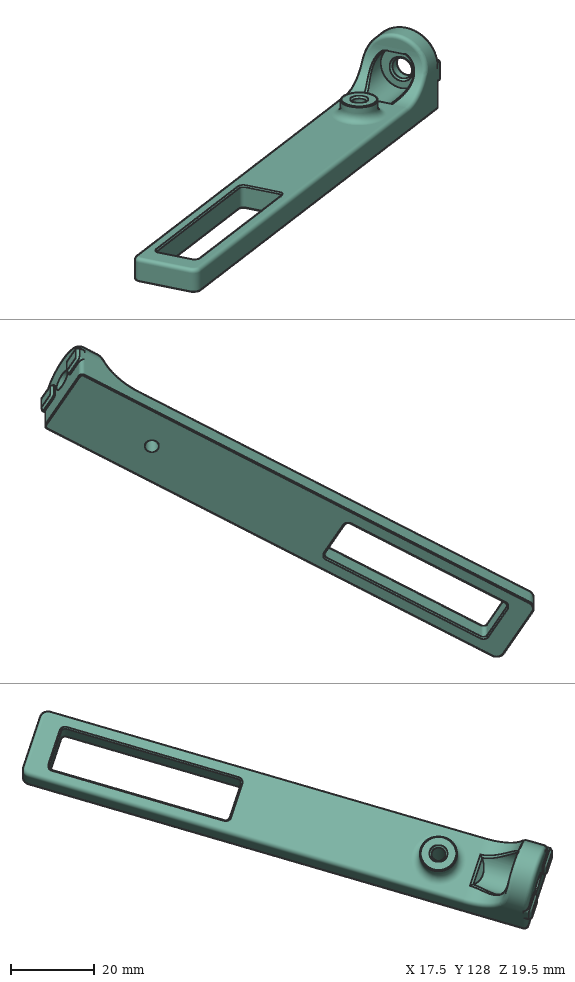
import cadquery as cq
import math

total_length = 128.0
width = 17.5
height = 19.5
deck_height = 6.0
pad_height = 1.0
back = total_length - pad_height

upright_thickness = 6.0
blend_radius = 10.0
arch_center_z = height - width / 2
upright_front = back - upright_thickness
blend_start = upright_front - blend_radius

end_corner_radius = 2.0
outer_fillet = 1.0
hole_rim_chamfer = 0.5
bottom_chamfer = 0.3

bore_z = 9.5
bore_diameter = 5.2
pocket_diameter = 11.0
pocket_z = 10.0
pocket_top = 15.0
pocket_floor_thickness = 3.0
mouth_setback = 0.6
mouth_chamfer = 0.4

pad_width = 5.5
pad_offset = (width - pad_width) / 2
pad_corner_radius = 0.9
pad_chamfer = 0.6

boss_distance = 25.0
boss_y = back - boss_distance
boss_diameter = 9.0
boss_top = 10.0
boss_rim_chamfer = 0.3
boss_flare_radius = 2.0
boss_hole_diameter = 3.3

slot_width = 11.0
slot_length = 45.0
slot_start = 6.0
slot_corner_radius = 1.0
slot_chamfer = 0.4


def make_body():
    """Side profile trimmed by an arched front outline, with its outer edges broken."""
    diagonal = blend_radius * math.sqrt(0.5)
    side = (
        cq.Workplane("YZ")
        .lineTo(0, deck_height)
        .lineTo(blend_start, deck_height)
        .threePointArc(
            (blend_start + diagonal, deck_height + blend_radius - diagonal),
            (upright_front, deck_height + blend_radius),
        )
        .lineTo(upright_front, height)
        .lineTo(back, height)
        .lineTo(back, 0)
        .close()
        .extrude(width / 2, both=True)
    )
    arch = (
        cq.Workplane("XZ")
        .moveTo(-width / 2, 0)
        .lineTo(-width / 2, arch_center_z)
        .threePointArc((0, height), (width / 2, arch_center_z))
        .lineTo(width / 2, 0)
        .close()
        .extrude(-back)
    )
    body = side.intersect(arch)
    body = body.edges("|Z and <Y").fillet(end_corner_radius)
    rim = (
        body.edges("not(<Z or |X or |Y or |Z)")
        .add(body.edges("|X and <Y").edges(">Z"))
        .add(body.edges("|Y").edges("not(<Z or >Z)"))
        .add(body.edges("|Z and >Y"))
    )
    body = rim.fillet(outer_fillet)
    return body.faces("<Z").chamfer(bottom_chamfer)


def rim_chamfered_hole(diameter, depth):
    """Cutter for a round hole rising from the origin along Z, widened by a chamfer at its top."""
    radius = diameter / 2
    return (
        cq.Workplane("XZ")
        .lineTo(radius, 0)
        .lineTo(radius, depth - hole_rim_chamfer)
        .lineTo(radius + hole_rim_chamfer, depth)
        .lineTo(0, depth)
        .close()
        .revolve(360, (0, 0), (0, 1))
    )


def cut_screw_seat(body):
    """Round head pocket with a flat roof and a ramped front end, and the bore through the upright."""
    pocket_radius = pocket_diameter / 2
    pocket_bottom = pocket_z - pocket_radius
    pocket_back = back - pocket_floor_thickness
    half_flat = math.sqrt(pocket_radius**2 - (pocket_top - pocket_z) ** 2)
    head_space = (
        cq.Workplane("XZ", origin=(0, pocket_back, 0))
        .moveTo(-half_flat, pocket_top)
        .lineTo(half_flat, pocket_top)
        .threePointArc((0, pocket_bottom), (-half_flat, pocket_top))
        .close()
        .extrude(pocket_back - blend_start)
    )
    ramp_rise = deck_height + mouth_setback - pocket_bottom
    ramp = (
        cq.Workplane("YZ", origin=(0, blend_start, pocket_bottom))
        .lineTo(0, ramp_rise)
        .lineTo(ramp_rise, 0)
        .close()
        .extrude(width / 2, both=True)
    )
    bore = (
        rim_chamfered_hole(bore_diameter, pocket_floor_thickness)
        .rotate((0, 0, 0), (1, 0, 0), 90)
        .translate((0, back, bore_z))
    )
    body = body.cut(head_space.cut(ramp))
    mouth = body.edges(cq.selectors.BoxSelector(
        (-pocket_radius, blend_start + mouth_setback / 2, deck_height),
        (pocket_radius, upright_front, pocket_top),
    ))
    body = mouth.chamfer(mouth_chamfer)
    return body.cut(bore)


def add_pads(body):
    """Two square pads on the back face, flush with the sides of the arm and chamfered at the tip."""
    pads = (
        cq.Workplane("XZ", origin=(0, back - outer_fillet, bore_z))
        .pushPoints([(-pad_offset, 0), (pad_offset, 0)])
        .rect(pad_width, pad_width)
        .extrude(-pad_height - outer_fillet)
        .edges("|Y")
        .fillet(pad_corner_radius)
        .faces(">Y")
        .chamfer(pad_chamfer)
    )
    return body.union(pads)


def add_boss(body):
    """Hollow boss flaring into the deck, with its top rims chamfered."""
    boss_radius = boss_diameter / 2
    flare_top = deck_height + boss_flare_radius
    flare_reach = boss_radius + boss_flare_radius
    flare_offset = boss_flare_radius * (1 - math.sqrt(0.5))
    boss = (
        cq.Workplane("XZ", origin=(0, boss_y, 0))
        .lineTo(flare_reach, 0)
        .lineTo(flare_reach, deck_height)
        .threePointArc(
            (boss_radius + flare_offset, deck_height + flare_offset),
            (boss_radius, flare_top),
        )
        .lineTo(boss_radius, boss_top - boss_rim_chamfer)
        .lineTo(boss_radius - boss_rim_chamfer, boss_top)
        .lineTo(0, boss_top)
        .close()
        .revolve(360, (0, 0), (0, 1))
    )
    hole = rim_chamfered_hole(boss_hole_diameter, boss_top).translate((0, boss_y, 0))
    return body.union(boss).cut(hole)


def cut_slot(body):
    """Rounded rectangular slot through the arm, chamfered at both rims."""
    slot = (
        cq.Workplane("XY")
        .center(0, slot_start + slot_length / 2)
        .rect(slot_width, slot_length)
        .extrude(deck_height)
        .edges("|Z")
        .fillet(slot_corner_radius)
    )
    body = body.cut(slot)
    slot_end = slot_start + slot_length
    slot_area = cq.selectors.BoxSelector(
        (-width, slot_start / 2, -deck_height),
        (width, slot_end + slot_corner_radius, 2 * deck_height),
    )
    rims = body.edges(slot_area).edges("not |Z")
    return rims.chamfer(slot_chamfer)


result = make_body()
result = cut_screw_seat(result)
result = add_pads(result)
result = add_boss(result)
result = cut_slot(result)